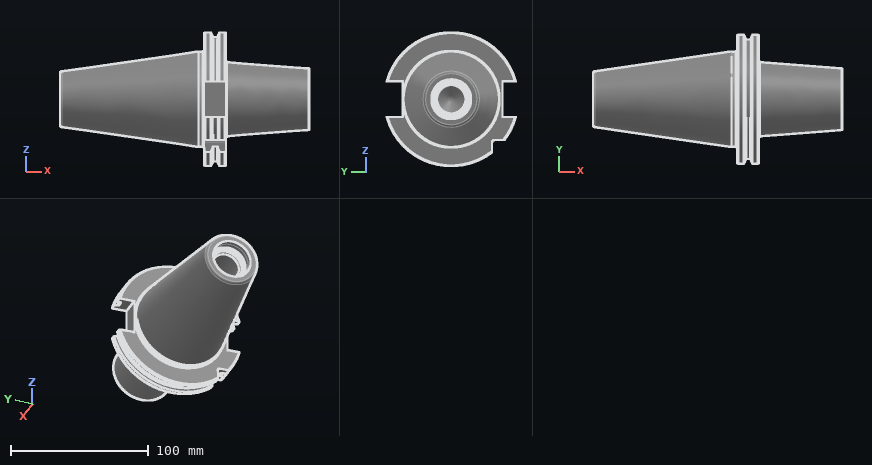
import cadquery as cq
import math

total_length = 181.6
gauge_x = 100.8
flange_start = 105.0
flange_width = 15.89
flange_end = flange_start + flange_width

gauge_radius = 34.9
taper_slope = 7 / 48
small_end_radius = gauge_radius - gauge_x * taper_slope
small_end_fillet = 1.8

relief_radius = 34.7
relief_start = 101.9
relief_end = 103.7
shoulder_radius = 35.2

flange_radius = 48.7
flange_bevel_width = 1.0
flange_bevel_height = 0.5
groove_width = 6.5
groove_floor_width = 4.0
groove_depth = 3.3
groove_wall_angle = 60.0
groove_corner_fillet = 0.7
groove_center = flange_start + flange_width / 2

nose_root_radius = 27.0
nose_tip_radius = 22.5
nose_root_chamfer = 0.7
nose_tip_chamfer = 0.9

slot_width = 25.8
slot_floor_front = 37.5
slot_floor_back = 35.5
notch_offset = 29.8
notch_corner_fillet = 1.5

mouth_radius = 14.5
counterbore_radius = 13.8
mouth_depth = 3.5
counterbore_depth = 8.4
pilot_start = 9.0
pilot_radius = 12.5
pilot_depth = 11.3
thread_mouth_radius = 12.0
thread_radius = 10.4
thread_mouth_depth = 12.7
thread_depth = 45.4
drill_tip_angle = 120.0


def revolve_about_x(points):
    profile = cq.Workplane("XY").polyline(points).close()
    return profile.revolve(360, (0, 0, 0), (1, 0, 0))


def make_shank():
    shank = revolve_about_x([
        (0, 0),
        (0, small_end_radius),
        (gauge_x, gauge_radius),
        (relief_start, relief_radius),
        (relief_end, relief_radius),
        (flange_start, shoulder_radius),
        (flange_start, 0),
    ])
    return shank.faces("<X").edges().fillet(small_end_fillet)


def make_flange():
    return revolve_about_x([
        (flange_start, 0),
        (flange_start, flange_radius - flange_bevel_height),
        (flange_start + flange_bevel_width, flange_radius),
        (flange_end - flange_bevel_width, flange_radius),
        (flange_end, flange_radius - flange_bevel_height),
        (flange_end, 0),
    ])


def make_gripper_groove():
    half_top = groove_width / 2
    half_floor = groove_floor_width / 2
    slope_height = (half_top - half_floor) * math.tan(math.radians(groove_wall_angle))
    slope_end_radius = flange_radius - slope_height
    floor_radius = flange_radius - groove_depth
    groove = revolve_about_x([
        (groove_center - half_top, flange_radius),
        (groove_center - half_floor, slope_end_radius),
        (groove_center - half_floor, floor_radius),
        (groove_center + half_floor, floor_radius),
        (groove_center + half_floor, slope_end_radius),
        (groove_center + half_top, flange_radius),
    ])
    floor_circles = cq.selectors.RadiusNthSelector(0)
    return groove.edges("%CIRCLE").edges(floor_circles).fillet(groove_corner_fillet)


def make_nose():
    return revolve_about_x([
        (flange_end, 0),
        (flange_end, nose_root_radius + nose_root_chamfer),
        (flange_end + nose_root_chamfer, nose_root_radius),
        (total_length - nose_tip_chamfer, nose_tip_radius),
        (total_length, nose_tip_radius - nose_tip_chamfer),
        (total_length, 0),
    ])


def flange_cutter(y_min, y_max, z_min, z_max):
    size = (flange_width, y_max - y_min, z_max - z_min)
    return cq.Workplane("XY").box(*size, centered=False).translate((flange_start, y_min, z_min))


def make_flange_cutouts():
    reach = flange_radius + 1.8
    half_slot = slot_width / 2
    front_slot = flange_cutter(-reach, -slot_floor_front, -half_slot, half_slot)
    back_slot = flange_cutter(slot_floor_back, reach, -half_slot, half_slot)
    notch = flange_cutter(-reach, -notch_offset, -reach, -notch_offset)
    notch = notch.edges("|X and >Y and >Z").fillet(notch_corner_fillet)
    return front_slot.union(back_slot).union(notch)


def make_bore():
    tip_length = thread_radius / math.tan(math.radians(drill_tip_angle / 2))
    return revolve_about_x([
        (0, 0),
        (0, mouth_radius),
        (mouth_depth, counterbore_radius),
        (counterbore_depth, counterbore_radius),
        (pilot_start, pilot_radius),
        (pilot_depth, pilot_radius),
        (pilot_depth, thread_mouth_radius),
        (thread_mouth_depth, thread_radius),
        (thread_depth, thread_radius),
        (thread_depth + tip_length, 0),
    ])


flange = make_flange().cut(make_gripper_groove()).cut(make_flange_cutouts())
result = make_shank().union(flange).union(make_nose()).cut(make_bore())